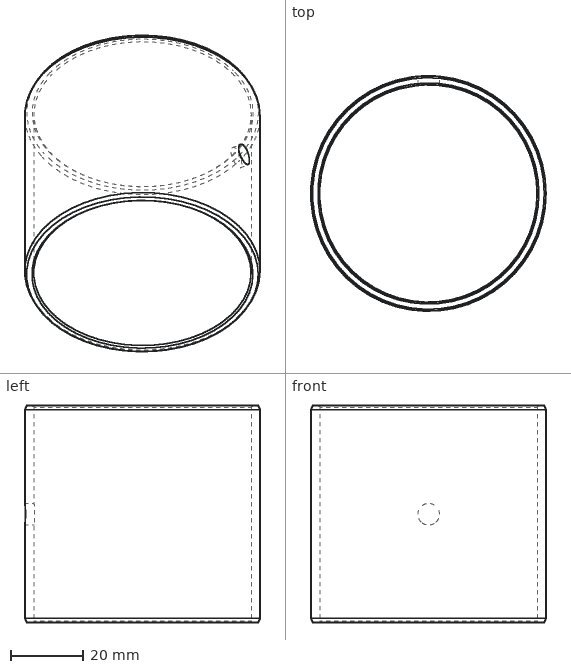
import cadquery as cq

outer_diameter = 65.0
inner_diameter = 60.0
length = 60.0

outer_chamfer_height = 1.2
outer_chamfer_width = 0.5
inner_chamfer = 0.5
hole_diameter = 6.0

outer_radius = outer_diameter / 2
inner_radius = inner_diameter / 2
half_length = length / 2

wall_section = [
    (inner_radius, -half_length + inner_chamfer),
    (inner_radius + inner_chamfer, -half_length),
    (outer_radius - outer_chamfer_width, -half_length),
    (outer_radius, -half_length + outer_chamfer_height),
    (outer_radius, half_length - outer_chamfer_height),
    (outer_radius - outer_chamfer_width, half_length),
    (inner_radius + inner_chamfer, half_length),
    (inner_radius, half_length - inner_chamfer),
]
sleeve = (
    cq.Workplane("XY")
    .polyline(wall_section)
    .close()
    .revolve(360, (0, 0), (0, 1))
    .rotate((0, 0, 0), (1, 0, 0), 90)
)

hole_cutter = cq.Workplane("XZ").circle(hole_diameter / 2).extrude(-outer_diameter)

result = sleeve.cut(hole_cutter)